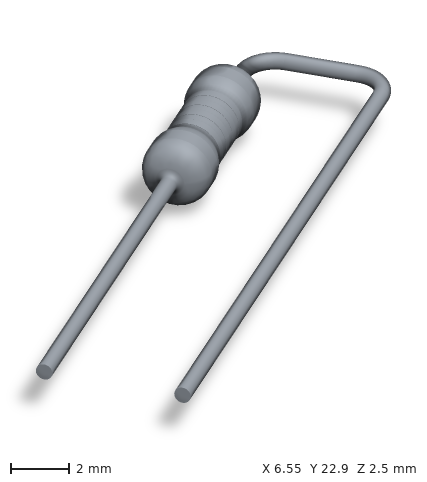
import cadquery as cq
import math

overall_length = 22.9
wire_radius = 0.6 / 2
leg_spacing = 5.0
bend_radius = 1.2
body_to_top = 5.9

cap_radius = 2.5 / 2
waist_radius = 2.13 / 2
band_radius = 2.15 / 2
cap_outer = 2.56
cap_inner = 1.95
waist_half = 1.2
cap_round = 0.85
neck_end = 3.66

band_count = 4
band_width = 2 * waist_half / (2 * band_count - 1)


def point_on_arc(center, radius, angle):
    return (center[0] + radius * math.cos(angle), center[1] + radius * math.sin(angle))


def make_wire():
    crossing_y = body_to_top - wire_radius
    end_y = body_to_top - overall_length
    bend_y = crossing_y - bend_radius
    diagonal = bend_radius * math.sqrt(0.5)
    left_center_x = bend_radius
    right_center_x = leg_spacing - bend_radius
    path = (
        cq.Workplane("XY")
        .moveTo(0, end_y)
        .lineTo(0, bend_y)
        .threePointArc((left_center_x - diagonal, bend_y + diagonal), (left_center_x, crossing_y))
        .lineTo(right_center_x, crossing_y)
        .threePointArc((right_center_x + diagonal, bend_y + diagonal), (leg_spacing, bend_y))
        .lineTo(leg_spacing, end_y)
    )
    return cq.Workplane("XZ", origin=(0, end_y, 0)).circle(wire_radius).sweep(path)


def make_cap():
    round_center = (cap_radius - cap_round, cap_outer)
    neck_height = neck_end - cap_outer
    center_offset = wire_radius - round_center[0]
    neck_fillet = (center_offset**2 + neck_height**2 - cap_round**2) / (2 * (cap_round - center_offset))
    neck_center = (wire_radius + neck_fillet, neck_end)
    end_angle = math.atan2(neck_height, neck_center[0] - round_center[0])
    end_point = point_on_arc(round_center, cap_round, end_angle)
    end_middle = point_on_arc(round_center, cap_round, end_angle / 2)
    neck_middle = point_on_arc(neck_center, neck_fillet, math.pi + end_angle / 2)

    shoulder_length = cap_inner - waist_half
    shoulder_drop = cap_radius - waist_radius
    shoulder_radius = (shoulder_length**2 + shoulder_drop**2) / (4 * shoulder_drop)
    half_sweep = math.asin(shoulder_length / 2 / shoulder_radius) / 2
    convex_center = (cap_radius - shoulder_radius, cap_inner)
    concave_center = (waist_radius + shoulder_radius, waist_half)
    convex_middle = point_on_arc(convex_center, shoulder_radius, -half_sweep)
    concave_middle = point_on_arc(concave_center, shoulder_radius, math.pi - half_sweep)
    shoulder_middle = ((cap_radius + waist_radius) / 2, (cap_inner + waist_half) / 2)

    return (
        cq.Workplane("XY")
        .moveTo(0, waist_half)
        .lineTo(waist_radius, waist_half)
        .threePointArc(concave_middle, shoulder_middle)
        .threePointArc(convex_middle, (cap_radius, cap_inner))
        .lineTo(cap_radius, cap_outer)
        .threePointArc(end_middle, end_point)
        .threePointArc(neck_middle, (wire_radius, neck_end))
        .lineTo(0, neck_end)
        .close()
        .revolve(360, (0, 0, 0), (0, 1, 0))
    )


def make_cylinder(radius, upper_y, length):
    return cq.Workplane("XZ", origin=(0, upper_y, 0)).circle(radius).extrude(length)


def make_band(index):
    upper_y = waist_half - 2 * index * band_width
    return make_cylinder(band_radius, upper_y, band_width)


cap = make_cap()
waist = make_cylinder(waist_radius, waist_half, 2 * waist_half)
result = make_wire().union(waist).union(cap).union(cap.mirror("XZ"))
for band_index in range(band_count):
    result = result.union(make_band(band_index))